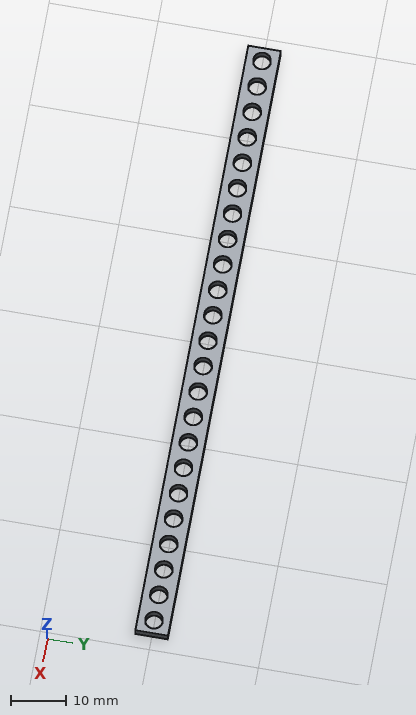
import cadquery as cq

length = 115.0
width = 6.0
thickness = 2.0

hole_count = 23
hole_diameter = 3.2
hole_pitch = length / hole_count

bar = cq.Workplane("XY").box(length, width, thickness)

result = (
    bar.faces(">Z")
    .workplane()
    .rarray(hole_pitch, width, hole_count, 1)
    .hole(hole_diameter)
)